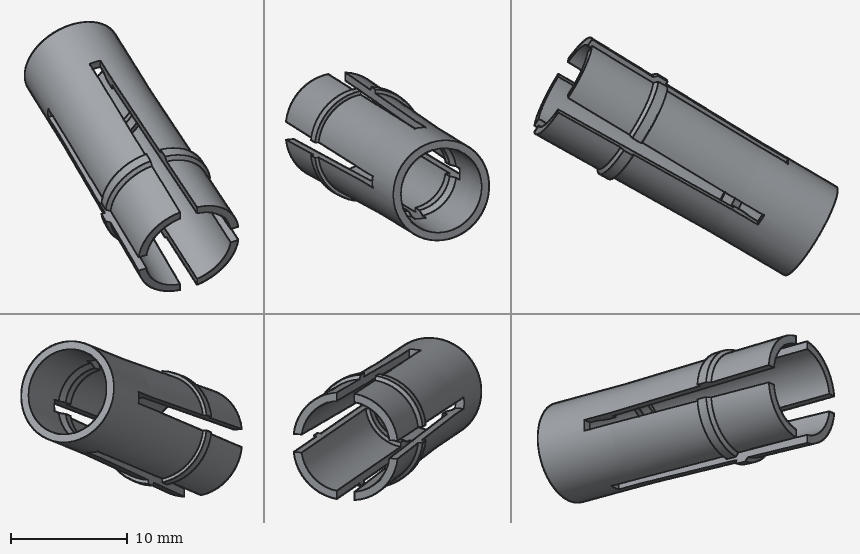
import cadquery as cq
import math

length = 25.02
outer_radius = 4.4
bore_radius = 3.7
bore_end_radius = 3.6
finger_bore_radius = 3.68
slot_width = 1.0
slot_start = 5.0

lip_radius = 3.3
lip_start = 5.75
lip_cone_end = 6.5

bend_start = 7.5
bend_angle = 1.35
bend_axis_distance = 13.75

collar_radius = 4.73
collar_start = 9.75
collar_width = 0.95
collar_chamfer = 0.3

half_slot = slot_width / 2
inner_corner = (half_slot + math.sqrt(finger_bore_radius**2 - half_slot**2)) / math.sqrt(2)
bend_radians = math.radians(bend_angle)
bend_advance = (bend_axis_distance - inner_corner) * math.sin(bend_radians)
finger_length = (length - bend_start - bend_advance) / math.cos(bend_radians)


def turn(points):
    """Revolve an (x, radius) outline a full turn about the X axis."""
    return cq.Workplane("XY").polyline(points).close().revolve(360, (0, 0, 0), (1, 0, 0))


def make_base():
    """Sleeve with a slightly tapered bore and an inward lip, slotted through in both directions."""
    sleeve = turn([
        (0, bore_radius),
        (0, outer_radius),
        (bend_start, outer_radius),
        (bend_start, lip_radius),
        (lip_cone_end, lip_radius),
        (lip_start, bore_end_radius),
    ])
    slot = cq.Workplane("XY").box(
        bend_start - slot_start, 2 * collar_radius, slot_width, centered=(False, True, True)
    ).translate((slot_start, 0, 0))
    return sleeve.cut(slot).cut(slot.rotate((0, 0, 0), (1, 0, 0), 90))


def finger_profile():
    """Quarter-ring section at the bend, bounded by the slot faces."""
    ring = cq.Workplane("YZ").circle(outer_radius).circle(finger_bore_radius).extrude(finger_length)
    return ring.intersect(quadrant()).faces("<X").val()


def quadrant():
    """Block that keeps the material between two neighbouring slots."""
    return cq.Workplane("XY").box(
        finger_length, collar_radius, collar_radius, centered=False
    ).translate((0, half_slot, half_slot))


def make_finger():
    """Curved bend and straight spread blade of the finger in the +Y +Z quadrant."""
    axis_offset = bend_axis_distance / math.sqrt(2)
    axis_start = cq.Vector(0, axis_offset, axis_offset)
    axis_end = axis_start + cq.Vector(0, -0.25, 0.25)
    bend = cq.Solid.revolve(finger_profile(), bend_angle, axis_start, axis_end)

    collar_end = collar_start + collar_width
    blade = turn([
        (0, finger_bore_radius),
        (0, outer_radius),
        (collar_start, outer_radius),
        (collar_start, collar_radius),
        (collar_end, collar_radius),
        (collar_end + collar_chamfer, outer_radius),
        (finger_length, outer_radius),
        (finger_length, finger_bore_radius),
    ]).intersect(quadrant())
    blade = blade.rotate(axis_start.toTuple(), axis_end.toTuple(), bend_angle)
    return blade.union(cq.Workplane(bend)).translate((bend_start, 0, 0))


result = make_base()
finger = make_finger()
for quarter in range(4):
    result = result.union(finger.rotate((0, 0, 0), (1, 0, 0), 90 * quarter))